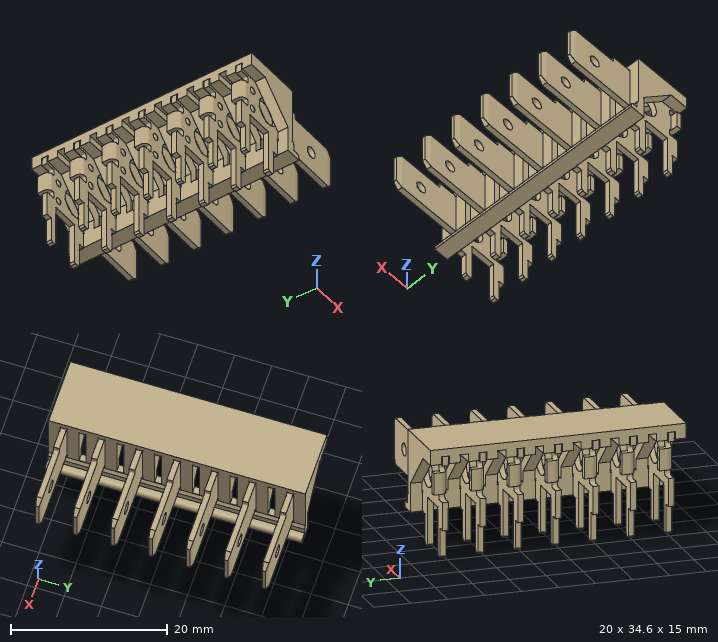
import cadquery as cq
import math


terminal_count = 7
pitch = 5.1
row_length = 34.6

housing_top = 11.05
housing_depth = 9.03
lip_length = 2.98
lip_bottom = 9.0
wall_front = 8.03
brace_bottom = 4.05
wall_bottom = 0.1

foot_back = 9.35
foot_top = 2.45
foot_slope_bottom = 1.97
toe_back = 10.4
toe_top = 1.0
toe_radius = 0.5

slot_width = 0.95
slot_mouth_width = 1.07
slot_top = 10.05
slot_bottom = 2.6

thickness = 0.8
plate_top = slot_top
plate_back = wall_front
neck_back = 11.97

blade_top = 9.2
blade_bottom = 2.9
blade_middle = (blade_top + blade_bottom) / 2
blade_back = 20.0
blade_tip_length = 0.95
blade_tip_inset = 0.8
blade_tip_thickness = 0.5
step_radius = 0.2

blade_hole_x = 15.5
blade_hole_diameter = 1.65
plate_hole_x = 6.0
plate_hole_diameter = 4.0

leg_bottom = -3.98
leg_gap_top = 2.6
front_leg_x = (0.95, 1.95)
back_leg_x = (6.0, 7.13)
leg_chamfer = 0.25

notch_depth = 1.5
notch_height = 1.0
notch_radius = 0.2
tab_bottom = 4.8
tab_top = 7.75
tab_front = 0.4
tab_length = 1.85

dimple_x = 2.5
dimple_heights = (4.05, 7.13)
dimple_diameter = 1.0
dimple_rise = 0.2

lance_tip_x = 9.1
lance_root_x = 11.07
lance_rise = 0.3
lance_tip_height = 2.7
lance_root_height = 2.98


def make_slot(y):
    """Cutter for one slot, running through the whole housing along X."""
    outline = [
        (0, y - slot_mouth_width / 2),
        (lip_length, y - slot_width / 2),
        (housing_depth, y - slot_width / 2),
        (housing_depth, y + slot_width / 2),
        (lip_length, y + slot_width / 2),
        (0, y + slot_mouth_width / 2),
    ]
    height = slot_top - slot_bottom
    return cq.Workplane("XY").workplane(offset=slot_bottom).polyline(outline).close().extrude(height)


def make_housing():
    arc_shift = toe_radius * (1 - math.cos(math.radians(45)))
    body = (
        cq.Workplane("XZ", origin=(0, row_length / 2, 0))
        .moveTo(0, housing_top)
        .lineTo(housing_depth, housing_top)
        .lineTo(housing_depth, foot_top)
        .lineTo(foot_back, foot_slope_bottom)
        .lineTo(foot_back, toe_top)
        .lineTo(toe_back - toe_radius, toe_top)
        .threePointArc(
            (toe_back - arc_shift, toe_top - arc_shift),
            (toe_back, toe_top - toe_radius),
        )
        .lineTo(toe_back, wall_bottom)
        .lineTo(wall_front, wall_bottom)
        .lineTo(wall_front, brace_bottom)
        .lineTo(lip_length, lip_bottom)
        .lineTo(0, lip_bottom)
        .close()
        .extrude(row_length)
    )
    slot_count = 2 * terminal_count - 1
    slot_pitch = pitch / 2
    for i in range(slot_count):
        body = body.cut(make_slot((i - (slot_count - 1) / 2) * slot_pitch))
    return body


def xz_box(x_range, z_range, y_range):
    """Box between the given limits along X, Z and Y."""
    size = [limits[1] - limits[0] for limits in (x_range, y_range, z_range)]
    corner = (x_range[0], y_range[0], z_range[0])
    return cq.Workplane("XY").box(*size, centered=False).translate(corner)


def make_plate():
    """Flat stamped outline with its legs, shoulders, blade and holes."""
    plate = (
        cq.Workplane("XZ", origin=(0, thickness / 2, 0))
        .polyline(
            [
                (0, 0),
                (0, plate_top),
                (neck_back, plate_top),
                (neck_back, blade_top),
                (blade_back - blade_tip_length, blade_top),
                (blade_back, blade_top - blade_tip_inset),
                (blade_back, blade_bottom + blade_tip_inset),
                (blade_back - blade_tip_length, blade_bottom),
                (plate_back, blade_bottom),
                (plate_back, 0),
            ]
        )
        .close()
        .extrude(thickness)
    )
    step_corner = cq.selectors.NearestToPointSelector((neck_back, 0, blade_top))
    plate = plate.edges("|Y").edges(step_corner).fillet(step_radius)

    y_range = (-thickness / 2, thickness / 2)
    plate = plate.cut(xz_box((front_leg_x[1], back_leg_x[0]), (0, leg_gap_top), y_range))
    for leg_x in (front_leg_x, back_leg_x):
        leg = xz_box(leg_x, (leg_bottom, leg_gap_top), y_range)
        plate = plate.union(leg.faces("<Z").edges("|Y").chamfer(leg_chamfer))

    for x, diameter in ((blade_hole_x, blade_hole_diameter), (plate_hole_x, plate_hole_diameter)):
        hole = cq.Workplane("XZ", origin=(x, thickness / 2, blade_middle)).circle(diameter / 2)
        plate = plate.cut(hole.extrude(thickness))
    return plate


def taper_blade_tip(plate):
    """Thin the end of the blade evenly from both faces."""
    tip_start = blade_back - blade_tip_length
    for side in (-1, 1):
        wedge = (
            cq.Workplane("XY")
            .polyline(
                [
                    (tip_start, side * thickness / 2),
                    (blade_back, side * thickness / 2),
                    (blade_back, side * blade_tip_thickness / 2),
                ]
            )
            .close()
            .extrude(blade_top)
        )
        plate = plate.cut(wedge)
    return plate


def cut_notches(plate):
    """Free the front tab with a round-cornered notch above and below it."""
    y_range = (-thickness / 2, thickness / 2)
    for bottom in (tab_bottom - notch_height, tab_top):
        notch = xz_box((0, notch_depth), (bottom, bottom + notch_height), y_range)
        plate = plate.cut(notch.faces(">X").edges("|Y").fillet(notch_radius))
    bend_strip = xz_box((0, tab_front + thickness), (tab_bottom, tab_top), y_range)
    return plate.cut(bend_strip)


def make_tab():
    """Tab bent square towards +Y, round on the outside of the bend."""
    face_y = -thickness / 2
    tab_back = tab_front + thickness
    arc_shift = thickness * (1 - math.cos(math.radians(45)))
    return (
        cq.Workplane("XY", origin=(0, 0, tab_bottom))
        .moveTo(tab_back, face_y)
        .threePointArc((tab_front + arc_shift, face_y + arc_shift), (tab_front, face_y + thickness))
        .lineTo(tab_front, face_y + tab_length)
        .lineTo(tab_back, face_y + tab_length)
        .close()
        .extrude(tab_top - tab_bottom)
    )


def make_dimple(z):
    """Shallow spherical cap on the -Y face."""
    sphere_radius = (dimple_diameter**2 / 4 + dimple_rise**2) / (2 * dimple_rise)
    sphere_depth = sphere_radius - dimple_rise
    mid_radius = dimple_diameter / 4
    mid_rise = math.sqrt(sphere_radius**2 - mid_radius**2) - sphere_depth
    return (
        cq.Workplane("XY", origin=(dimple_x, -thickness / 2, z))
        .moveTo(0, 0)
        .lineTo(0, -dimple_rise)
        .threePointArc((mid_radius, -mid_rise), (dimple_diameter / 2, 0))
        .close()
        .revolve(360, (0, 0), (0, 1))
    )


def make_lance():
    """Wedge rising towards the housing so that the terminal cannot slide back out."""
    face_y = -thickness / 2
    wedge = (
        cq.Workplane("XY")
        .polyline([(lance_root_x, face_y), (lance_tip_x, face_y - lance_rise), (lance_tip_x, face_y)])
        .close()
        .extrude(housing_top)
    )
    outline = (
        cq.Workplane("XZ", origin=(0, face_y, 0))
        .polyline(
            [
                (lance_tip_x, blade_middle - lance_tip_height / 2),
                (lance_root_x, blade_middle - lance_root_height / 2),
                (lance_root_x, blade_middle + lance_root_height / 2),
                (lance_tip_x, blade_middle + lance_tip_height / 2),
            ]
        )
        .close()
        .extrude(lance_rise)
    )
    return wedge.intersect(outline)


def make_terminal():
    terminal = cut_notches(taper_blade_tip(make_plate()))
    terminal = terminal.union(make_tab()).union(make_lance())
    for z in dimple_heights:
        terminal = terminal.union(make_dimple(z))
    return terminal


housing = make_housing()

terminal_shape = make_terminal()
terminals = []
for i in range(terminal_count):
    y = (i - (terminal_count - 1) / 2) * pitch
    terminals.append(terminal_shape.translate((0, y, 0)).val())

result = cq.Compound.makeCompound([housing.val(), *terminals])